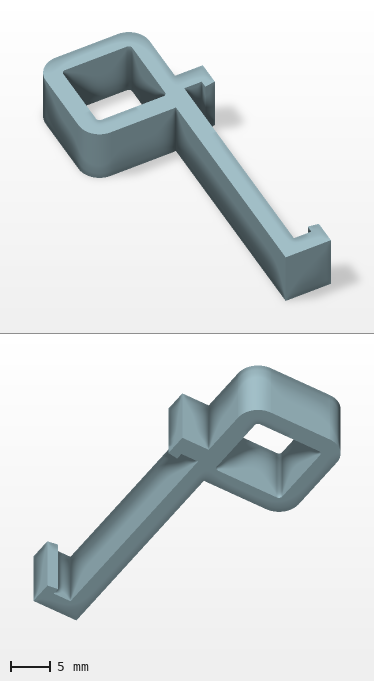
import cadquery as cq

length = 45.0
depth = 19.0
height = 8.0
wall = 2.5
ring_size = 15.0
ring_radius = 3.0
bore_radius = 0.5
lip_height = 1.5
lip_reach = 1.0
lip_tip_reach = 0.75

bore_size = ring_size - 2 * wall
arm_start = ring_size / 2
arm_bottom = ring_size - wall
left_hook_x = ring_size - 2 * wall
right_hook_x = length


def box(x_min, y_min, x_size, y_size):
    """Full-height block from its lower corner in plan."""
    return cq.Workplane("XY").box(x_size, y_size, height, centered=False).translate((x_min, y_min, 0))


def hook(outer_x, direction):
    """Hook standing on the arm, with its lip pointing along direction (+1 or -1) in X."""
    inner_x = outer_x + direction * wall
    lip_bottom = depth - lip_height
    points = [
        (outer_x, arm_bottom),
        (outer_x, depth),
        (inner_x + direction * lip_tip_reach, depth),
        (inner_x + direction * lip_reach, lip_bottom),
        (inner_x, lip_bottom),
        (inner_x, arm_bottom),
    ]
    return cq.Workplane("XY").polyline(points).close().extrude(height)


ring = box(0, 0, ring_size, ring_size).edges("|Z").fillet(ring_radius)
bore = box(wall, wall, bore_size, bore_size).edges("|Z").fillet(bore_radius)

arm = box(arm_start, arm_bottom, length - arm_start, wall)

body = ring.union(arm).union(hook(left_hook_x, 1)).union(hook(right_hook_x, -1))
result = body.cut(bore).clean()